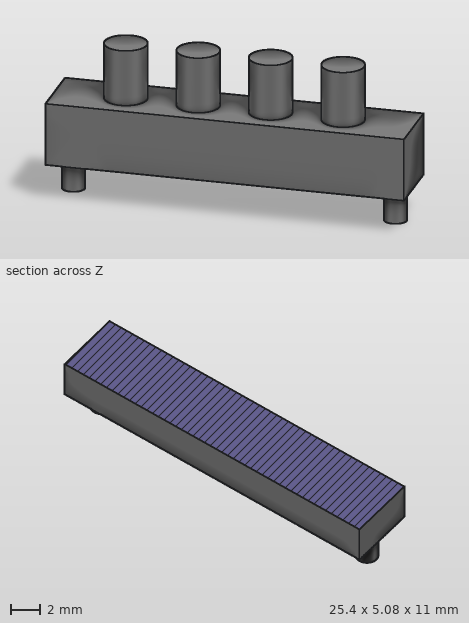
import cadquery as cq

body_length = 25.4
body_width = 5.08
body_height = 4.5

peg_count = 4
peg_diameter = 3.0
peg_height = 4.01
peg_pitch = 5.13

pin_diameter = 1.6
pin_length = 2.5
pin_spacing = 22.8


def cylinders(centers, diameter, start_z, height):
    """Upright cylinders at the given points, extruded from start_z by a signed height."""
    return (
        cq.Workplane("XY", origin=(0, 0, start_z))
        .pushPoints(centers)
        .circle(diameter / 2)
        .extrude(height)
    )


body = cq.Workplane("XY").box(
    body_length, body_width, body_height, centered=(True, True, False)
)

first_peg_x = -peg_pitch * (peg_count - 1) / 2
peg_centers = [(first_peg_x + i * peg_pitch, 0) for i in range(peg_count)]
pegs = cylinders(peg_centers, peg_diameter, body_height, peg_height)

pin_centers = [(side * pin_spacing / 2, 0) for side in (-1, 1)]
pins = cylinders(pin_centers, pin_diameter, 0, -pin_length)

result = body.union(pegs).union(pins)